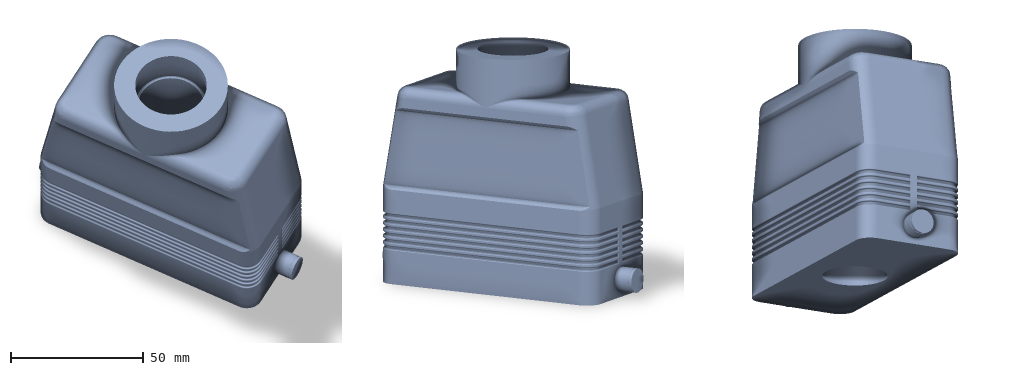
import cadquery as cq
import math

overall_length = 108.0
overall_height = 91.0

body_length = 93.5
body_width = 43.0
body_height = 76.0
slope_start_height = 37.0
end_wall_angle = 10.0
corner_radius = 6.0
top_edge_radius = 4.0

recess_depth = 1.5
recess_bottom = 36.4
recess_top = 68.4

groove_count = 6
groove_pitch = 2.5
groove_depth = 0.9
groove_width = 1.3
groove_edge_radius = 0.3
lowest_groove_height = 13.9
end_strip_width = 2.7

collar_diameter = body_width
upper_bore_diameter = 27.0
upper_bore_depth = 13.0
through_bore_diameter = 24.8

pin_diameter = 9.3
pin_height = 7.0
pin_groove_offset = 1.0
pin_groove_width = 0.4
pin_groove_depth = 0.1


def make_body():
    half_length = body_length / 2
    lean = (body_height - slope_start_height) * math.tan(math.radians(end_wall_angle))
    profile = [
        (-half_length, 0),
        (half_length, 0),
        (half_length, slope_start_height),
        (half_length - lean, body_height),
        (-half_length + lean, body_height),
        (-half_length, slope_start_height),
    ]
    body = cq.Workplane("XZ").polyline(profile).close().extrude(body_width / 2, both=True)
    body = body.edges("not #Z").fillet(corner_radius)
    return body.faces(">Z").edges().fillet(top_edge_radius)


def make_recess(side):
    """Cutter for one long face; side is -1 for the front and +1 for the back."""
    outer = side * body_width / 2
    inner = side * (body_width / 2 - recess_depth)
    profile = [
        (outer, recess_bottom),
        (inner, recess_bottom + recess_depth),
        (inner, recess_top - recess_depth),
        (outer, recess_top),
    ]
    return cq.Workplane("YZ").polyline(profile).close().extrude(body_length / 2, both=True)


def make_groove():
    """Ring cutter with rounded edges, centred on Z = 0 and interrupted in the middle of both ends."""
    half_length = body_length / 2
    face = -body_width / 2
    lip = face + groove_edge_radius
    floor = face + groove_depth
    floor_corner = floor - groove_edge_radius
    half_width = groove_width / 2
    half_mouth = half_width + groove_edge_radius
    half_floor = half_width - groove_edge_radius
    path = (
        cq.Workplane("XY")
        .moveTo(0, face)
        .lineTo(half_length - corner_radius, face)
        .radiusArc((half_length, face + corner_radius), -corner_radius)
        .lineTo(half_length, -face - corner_radius)
        .radiusArc((half_length - corner_radius, -face), -corner_radius)
        .lineTo(-half_length + corner_radius, -face)
        .radiusArc((-half_length, -face - corner_radius), -corner_radius)
        .lineTo(-half_length, face + corner_radius)
        .radiusArc((-half_length + corner_radius, face), -corner_radius)
        .close()
    )
    ring = (
        cq.Workplane("YZ")
        .moveTo(face, -half_mouth)
        .radiusArc((lip, -half_width), groove_edge_radius)
        .lineTo(floor_corner, -half_width)
        .radiusArc((floor, -half_floor), -groove_edge_radius)
        .lineTo(floor, half_floor)
        .radiusArc((floor_corner, half_width), -groove_edge_radius)
        .lineTo(lip, half_width)
        .radiusArc((face, half_mouth), groove_edge_radius)
        .close()
        .sweep(path)
    )
    return ring.cut(cq.Workplane("XY").box(overall_length, end_strip_width, 2 * half_mouth))


def make_collar():
    return (
        cq.Workplane("XY")
        .workplane(offset=recess_top)
        .circle(collar_diameter / 2)
        .extrude(overall_height - recess_top)
    )


def make_pins():
    half_length = overall_length / 2
    groove_start = half_length - pin_groove_offset - pin_groove_width
    pins = cq.Workplane("YZ").center(0, pin_height).circle(pin_diameter / 2)
    pins = pins.extrude(half_length, both=True)
    for side in (-1, 1):
        groove = (
            cq.Workplane("YZ")
            .workplane(offset=side * groove_start)
            .center(0, pin_height)
            .circle(pin_diameter / 2)
            .circle(pin_diameter / 2 - pin_groove_depth)
            .extrude(side * pin_groove_width)
        )
        pins = pins.cut(groove)
    return pins


def make_hood():
    hood = make_body()
    for side in (-1, 1):
        hood = hood.cut(make_recess(side))
    groove = make_groove()
    for index in range(groove_count):
        height = lowest_groove_height + index * groove_pitch
        hood = hood.cut(groove.translate((0, 0, height)))
    hood = hood.union(make_collar()).union(make_pins())
    hood = hood.cut(cq.Workplane("XY").circle(through_bore_diameter / 2).extrude(overall_height))
    upper_bore = (
        cq.Workplane("XY")
        .workplane(offset=overall_height - upper_bore_depth)
        .circle(upper_bore_diameter / 2)
        .extrude(upper_bore_depth)
    )
    return hood.cut(upper_bore)


result = make_hood()